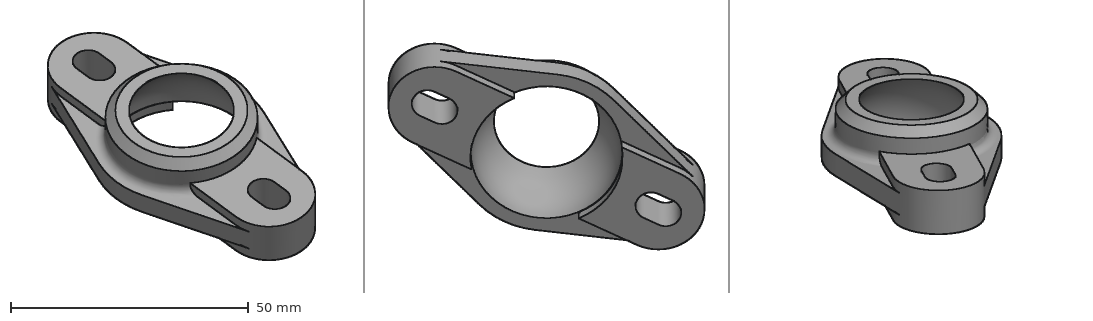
import cadquery as cq
import math

length = 72.6
lug_radius = 9.7
hub_radius = 18.95
lug_offset = length / 2 - lug_radius

lug_height = 10.0
flange_bottom = 2.55
flange_top = 7.55
collar_top = 15.75

collar_radius = 32.0 / 2
collar_chamfer = 2.1
collar_fillet = 2.0
seat_radius = collar_radius
opening_radius = 11.0
seat_center_height = collar_top - math.sqrt(seat_radius**2 - opening_radius**2)

slot_length = 10.0
slot_width = 6.5


def make_flange():
    """Diamond plate: a central round joined to both lug rounds by tangent lines."""
    tangent_sine = (hub_radius - lug_radius) / lug_offset
    tangent_cosine = math.sqrt(1 - tangent_sine**2)
    hub_x = hub_radius * tangent_sine
    hub_y = hub_radius * tangent_cosine
    lug_x = lug_offset + lug_radius * tangent_sine
    lug_y = lug_radius * tangent_cosine
    return (
        cq.Workplane("XY")
        .workplane(offset=flange_bottom)
        .moveTo(-hub_x, hub_y)
        .threePointArc((0, hub_radius), (hub_x, hub_y))
        .lineTo(lug_x, lug_y)
        .threePointArc((length / 2, 0), (lug_x, -lug_y))
        .lineTo(hub_x, -hub_y)
        .threePointArc((0, -hub_radius), (-hub_x, -hub_y))
        .lineTo(-lug_x, -lug_y)
        .threePointArc((-length / 2, 0), (-lug_x, lug_y))
        .close()
        .extrude(flange_top - flange_bottom)
    )


def make_collar():
    """Revolved collar with a chamfered rim and a concave fillet onto the flange."""
    fillet_top = flange_top + collar_fillet
    fillet_foot = collar_radius + collar_fillet
    arc_reach = collar_fillet * (1 - math.sqrt(0.5))
    return (
        cq.Workplane("XZ")
        .moveTo(0, flange_bottom)
        .lineTo(fillet_foot, flange_bottom)
        .lineTo(fillet_foot, flange_top)
        .threePointArc(
            (collar_radius + arc_reach, flange_top + arc_reach),
            (collar_radius, fillet_top),
        )
        .lineTo(collar_radius, collar_top - collar_chamfer)
        .lineTo(collar_radius - collar_chamfer, collar_top)
        .lineTo(0, collar_top)
        .close()
        .revolve(360, (0, 0, 0), (0, 1, 0))
    )


def make_seat_cavity():
    """Spherical seat, with a straight bore between the lugs below the flange."""
    sphere = cq.Workplane("XY").sphere(seat_radius).translate((0, 0, seat_center_height))
    sphere_zone = (
        cq.Workplane("XY")
        .workplane(offset=flange_bottom)
        .circle(length)
        .extrude(length)
    )
    lower_bore = cq.Workplane("XY").circle(collar_radius).extrude(flange_bottom)
    return sphere.intersect(sphere_zone).union(lower_bore)


lug_bar = cq.Workplane("XY").slot2D(length, 2 * lug_radius).extrude(lug_height)
slots = (
    cq.Workplane("XY")
    .pushPoints([(-lug_offset, 0), (lug_offset, 0)])
    .slot2D(slot_length, slot_width)
    .extrude(lug_height)
)

result = make_flange().union(lug_bar).union(make_collar())
result = result.cut(make_seat_cavity()).cut(slots)